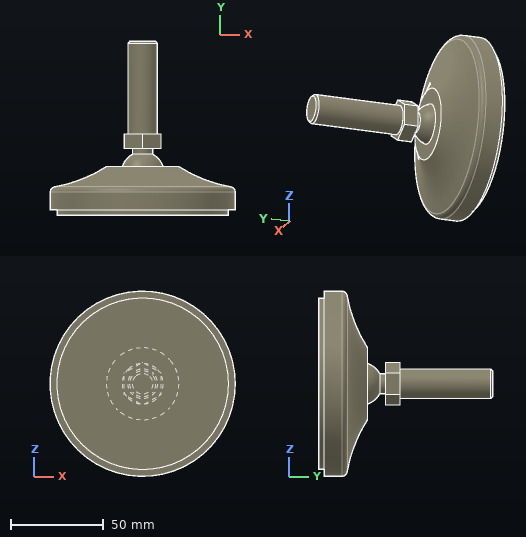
import cadquery as cq
import math


pad_diameter = 92.5
pad_thickness = 3.0

foot_diameter = 100.0
rim_top = 12.5
rim_fillet = 3.0
flank_end_slope = 10.0
foot_top = 26.4
foot_top_diameter = 39.0

ball_radius = 11.6
neck_diameter = 11.0

hex_base = 36.0
hex_height = 8.0
hex_across_flats = 20.0
stud_diameter = 16.0
stud_length = 50.0
stud_chamfer_radial = 1.0
stud_chamfer_axial = 1.3
ball_top = 33.0

foot_radius = foot_diameter / 2
pad_radius = pad_diameter / 2
neck_radius = neck_diameter / 2
ball_center = ball_top - math.sqrt(ball_radius**2 - neck_radius**2)
hex_top = hex_base + hex_height
stud_end = hex_top + stud_length


def on_fillet(angle):
    """Point on the rim fillet; the angle is measured in degrees from the +Y direction."""
    turn = math.radians(angle)
    return (
        foot_radius - rim_fillet + rim_fillet * math.sin(turn),
        rim_top + rim_fillet * math.cos(turn),
    )


def make_foot():
    """Pad, rim and concave flank, revolved as one profile."""
    fillet_middle = (90 + flank_end_slope) / 2
    profile = (
        cq.Workplane("XY")
        .lineTo(pad_radius, 0)
        .lineTo(pad_radius, pad_thickness)
        .lineTo(foot_radius, pad_thickness)
        .lineTo(foot_radius, rim_top)
        .threePointArc(on_fillet(fillet_middle), on_fillet(flank_end_slope))
        .tangentArcPoint((foot_top_diameter / 2, foot_top), relative=False)
        .lineTo(0, foot_top)
        .close()
    )
    return profile.revolve(360, (0, 0, 0), (0, 1, 0))


def make_spindle():
    """Upper half of the ball, neck and chamfered stud, revolved as one profile."""
    stud_radius = stud_diameter / 2
    diagonal_offset = ball_radius * math.sqrt(0.5)
    ball_side = (diagonal_offset, ball_center + diagonal_offset)
    profile = (
        cq.Workplane("XY")
        .moveTo(0, ball_center)
        .lineTo(ball_radius, ball_center)
        .threePointArc(ball_side, (neck_radius, ball_top))
        .lineTo(neck_radius, hex_top)
        .lineTo(stud_radius, hex_top)
        .lineTo(stud_radius, stud_end - stud_chamfer_axial)
        .lineTo(stud_radius - stud_chamfer_radial, stud_end)
        .lineTo(0, stud_end)
        .close()
    )
    return profile.revolve(360, (0, 0, 0), (0, 1, 0))


def make_hexagon():
    """Wrench hexagon with flats facing +X and -X and corners on the Z axis."""
    across_corners = hex_across_flats / math.cos(math.pi / 6)
    return (
        cq.Workplane("XZ", origin=(0, hex_base, 0))
        .transformed(rotate=(0, 0, 90))
        .polygon(6, across_corners)
        .extrude(-hex_height)
    )


result = make_foot().union(make_spindle()).union(make_hexagon())